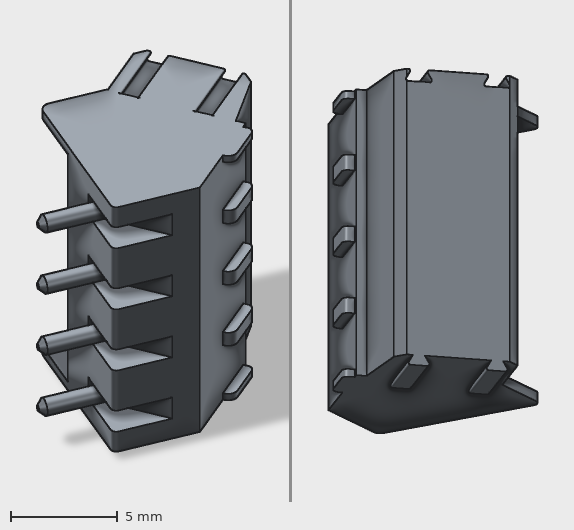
import cadquery as cq
import math


pole_count = 4
body_height = 14.0
pitch = body_height / pole_count

collar_length = 3.7
collar_chamfer = 0.5
collar_right_back = 5.95
collar_right_front = 6.5
right_wall = 7.0
collar_left_front = 0.1
left_corner = (-2.48, -2.38)
left_corner_radius = 0.52
bottom_corner = (3.89, -8.75)
bottom_corner_radius = 0.3
cap_thickness = 0.5

key_reach = 0.55
key_width = 0.75
key_back = -0.3
key_front = -2.8
key_back_radius = 0.3
key_front_radius = 0.5

dovetail_centers = (1.1, 4.86)
dovetail_flank_angle = 30
dovetail_radius = 0.1
tongue_depth = 0.5
tongue_neck_half = 0.29
groove_depth = 0.6
groove_neck_half = 0.35

slot_floor = -6.61
slot_height = 1.2
pin_diameter = 0.9
pin_tip_chamfer = 0.3
pin_length = 4.35
pin_tip = (0.22, -9.03)


def make_housing():
    """Plug collar on a base whose lower faces run at 45 degrees."""
    right_corner_y = bottom_corner[1] + right_wall - bottom_corner[0]
    outline = [
        (0, collar_left_front),
        (0, collar_length - collar_chamfer),
        (collar_chamfer, collar_length),
        (collar_right_back - collar_chamfer, collar_length),
        (collar_right_back, collar_length - collar_chamfer),
        (collar_right_front, 0),
        (right_wall, 0),
        (right_wall, right_corner_y),
        bottom_corner,
        left_corner,
    ]
    housing = cq.Workplane("XY").polyline(outline).close().extrude(body_height)
    housing = housing.edges("|Z and <X").fillet(left_corner_radius)
    return housing.edges("|Z and <Y").fillet(bottom_corner_radius)


def make_recess():
    """Space left of the collar wall, between the bottom and top caps."""
    wall_foot_y = left_corner[0] + left_corner[1]
    return (
        cq.Workplane("XY", origin=(left_corner[0], wall_foot_y, cap_thickness))
        .box(
            -left_corner[0],
            collar_left_front - wall_foot_y,
            body_height - 2 * cap_thickness,
            centered=False,
        )
    )


def make_key(z_low, z_high):
    """Rounded pad standing out of the right wall."""
    key = (
        cq.Workplane("XY", origin=(right_wall - key_reach, key_front, z_low))
        .box(2 * key_reach, key_back - key_front, z_high - z_low, centered=False)
    )
    key = key.edges("|Z and >X and >Y").fillet(key_back_radius)
    return key.edges("|Z and >X and <Y").fillet(key_front_radius)


def make_dovetail(center_x, top_z, neck_half, depth):
    """Dovetail bar along the collar, hanging down from top_z, its wide corners rounded."""
    foot_half = neck_half + depth * math.tan(math.radians(dovetail_flank_angle))
    bar = (
        cq.Workplane("XZ", origin=(center_x, 0, top_z))
        .polyline([(-neck_half, 0), (neck_half, 0), (foot_half, -depth), (-foot_half, -depth)])
        .close()
        .extrude(-collar_length)
    )
    return bar.edges("|Y and <Z").fillet(dovetail_radius)


def round_groove_lips(housing, center_x):
    """Round the two sharp edges where a groove opens through the top face."""
    margin = 0.01
    for side in (-1, 1):
        lip_x = center_x + side * groove_neck_half
        lip = cq.selectors.BoxSelector(
            (lip_x - margin, -margin, body_height - margin),
            (lip_x + margin, collar_length + margin, body_height + margin),
        )
        housing = housing.edges("|Y").edges(lip).fillet(dovetail_radius)
    return housing


def make_slot(center_z):
    """Notch across the lower corner of the base, with a floor facing -Y."""
    slot_length = 2 * right_wall
    slot_reach = slot_floor - bottom_corner[1]
    return cq.Workplane("XY").box(slot_length, slot_reach, slot_height).translate(
        (bottom_corner[0], slot_floor - slot_reach / 2, center_z)
    )


def make_pin(center_z):
    """Round pin square to the lower left face, with a blunt conical tip."""
    tip_plane = cq.Plane(origin=(*pin_tip, center_z), xDir=(1, -1, 0), normal=(1, 1, 0))
    pin = cq.Workplane(tip_plane).circle(pin_diameter / 2).extrude(pin_length)
    return pin.faces("<(1, 1, 0)").chamfer(pin_tip_chamfer)


result = make_housing().cut(make_recess())

for groove_x in dovetail_centers:
    result = result.cut(make_dovetail(groove_x, body_height, groove_neck_half, groove_depth))
    result = round_groove_lips(result, groove_x)

for tongue_x in dovetail_centers:
    result = result.union(make_dovetail(tongue_x, 0, tongue_neck_half, tongue_depth))

for boundary in range(pole_count + 1):
    key_low = max(0, boundary * pitch - key_width / 2)
    key_high = min(body_height, boundary * pitch + key_width / 2)
    result = result.union(make_key(key_low, key_high))

for pole in range(pole_count):
    pole_z = (pole + 0.5) * pitch
    result = result.cut(make_slot(pole_z)).union(make_pin(pole_z))